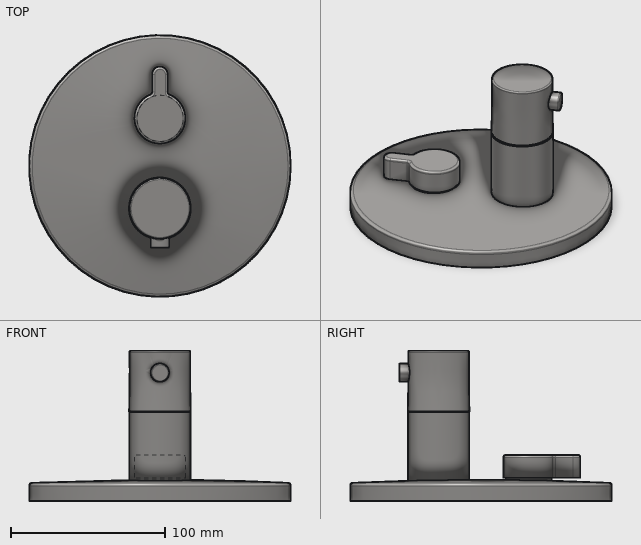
import cadquery as cq

PLATE_RADIUS = 85.0
PLATE_EDGE_FILLET = 2.0
PLATE_RIM_HEIGHT = 12.0
PLATE_DOME_HEIGHT = 14.0
PLATE_BOTTOM_CHAMFER = 0.3

COLUMN_Y = -27.5
SLEEVE_RADIUS = 20.0
SLEEVE_TOP = 57.8
GAP_HEIGHT = 0.7
GAP_DEPTH = 0.5
COLUMN_TOP = 97.68
HANDLE_TOP_FILLET = 1.0
HANDLE_TOP_FACE_RADIUS = 37.57 / 2
HANDLE_WAIST_RADIUS = 19.77
HANDLE_FOOT_RADIUS = 20.1

PIN_RADIUS = 6.0
PIN_Z = 83.4
PIN_END_Y = -53.1
PIN_FILLET = 0.8

KNOB_Y = 31.0
KNOB_RADIUS = 16.5
KNOB_BOTTOM = 15.2
KNOB_TOP = 30.1
KNOB_TOP_FILLET = 1.6
NECK_RADIUS = 30.07 / 2
LEVER_WIDTH = 10.0
LEVER_TIP_Y = 64.5
LEVER_ROOT_FILLET = 2.0


def revolve_about_z(profile):
    """Turn a closed XZ half-profile once round the Z axis."""
    return profile.close().revolve(360, (0, 0, 0), (0, 1, 0))


def make_plate():
    top_face_radius = PLATE_RADIUS - PLATE_EDGE_FILLET
    dome_rise = PLATE_DOME_HEIGHT - PLATE_RIM_HEIGHT
    dome_radius = (top_face_radius**2 + dome_rise**2) / (2 * dome_rise)
    half_radius = top_face_radius / 2
    half_height = PLATE_DOME_HEIGHT - dome_radius + (dome_radius**2 - half_radius**2) ** 0.5
    profile = (
        cq.Workplane("XZ")
        .lineTo(PLATE_RADIUS - PLATE_BOTTOM_CHAMFER, 0)
        .lineTo(PLATE_RADIUS, PLATE_BOTTOM_CHAMFER)
        .lineTo(PLATE_RADIUS, PLATE_RIM_HEIGHT - PLATE_EDGE_FILLET)
        .radiusArc((top_face_radius, PLATE_RIM_HEIGHT), -PLATE_EDGE_FILLET)
        .threePointArc((half_radius, half_height), (0, PLATE_DOME_HEIGHT))
    )
    return revolve_about_z(profile)


def make_column():
    """Sleeve, shadow gap and slightly waisted handle as one turned body."""
    handle_bottom = SLEEVE_TOP + GAP_HEIGHT
    handle_shoulder = COLUMN_TOP - HANDLE_TOP_FILLET
    shoulder_radius = HANDLE_TOP_FACE_RADIUS + HANDLE_TOP_FILLET
    gap_radius = SLEEVE_RADIUS - GAP_DEPTH
    profile = (
        cq.Workplane("XZ")
        .lineTo(SLEEVE_RADIUS, 0)
        .lineTo(SLEEVE_RADIUS, SLEEVE_TOP)
        .lineTo(gap_radius, SLEEVE_TOP)
        .lineTo(gap_radius, handle_bottom)
        .lineTo(HANDLE_FOOT_RADIUS, handle_bottom)
        .threePointArc(
            (HANDLE_WAIST_RADIUS, (handle_bottom + handle_shoulder) / 2),
            (shoulder_radius, handle_shoulder),
        )
        .radiusArc((HANDLE_TOP_FACE_RADIUS, COLUMN_TOP), -HANDLE_TOP_FILLET)
        .lineTo(0, COLUMN_TOP)
    )
    return revolve_about_z(profile).translate((0, COLUMN_Y, 0))


def make_pin():
    return (
        cq.Workplane("XZ", origin=(0, COLUMN_Y, PIN_Z))
        .circle(PIN_RADIUS)
        .extrude(COLUMN_Y - PIN_END_Y)
        .faces("<Y")
        .edges()
        .fillet(PIN_FILLET)
    )


def make_knob():
    height = KNOB_TOP - KNOB_BOTTOM
    tip_centre = LEVER_TIP_Y - KNOB_Y - LEVER_WIDTH / 2
    lever = (
        cq.Workplane("XY")
        .center(0, tip_centre / 2)
        .rect(LEVER_WIDTH, tip_centre)
        .extrude(height)
        .union(cq.Workplane("XY").center(0, tip_centre).circle(LEVER_WIDTH / 2).extrude(height))
    )
    disc = cq.Workplane("XY").circle(KNOB_RADIUS).extrude(height)
    root_y = (KNOB_RADIUS**2 - (LEVER_WIDTH / 2) ** 2) ** 0.5
    margin = 1.0
    root_box = cq.selectors.BoxSelector(
        (-LEVER_WIDTH, root_y - margin, -margin), (LEVER_WIDTH, root_y + margin, height + margin)
    )
    knob = (
        disc.union(lever)
        .edges("|Z")
        .edges(root_box)
        .fillet(LEVER_ROOT_FILLET)
        .faces(">Z")
        .edges()
        .fillet(KNOB_TOP_FILLET)
    )
    neck = cq.Workplane("XY").circle(NECK_RADIUS).extrude(-KNOB_BOTTOM)
    return knob.union(neck).translate((0, KNOB_Y, KNOB_BOTTOM))


result = make_plate().union(make_column()).union(make_pin()).union(make_knob())